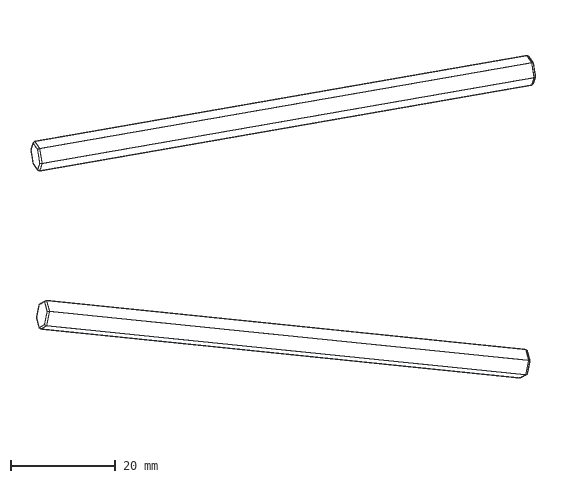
import cadquery as cq
import math

length = 100.0
across_flats = 5.0
bevel_inset = 0.2
bevel_length = 0.4

across_corners = across_flats / math.cos(math.radians(30))
straight_length = length - 2 * bevel_length
bevel_angle = math.degrees(math.atan(bevel_inset / bevel_length))

bar = (
    cq.Workplane("XZ")
    .polygon(6, across_corners)
    .extrude(straight_length / 2, both=True)
)


def bevelled_end(side):
    """Short tapered hexagon on the end of the bar chosen by side."""
    return (
        bar.faces(side)
        .workplane(centerOption="CenterOfMass")
        .polygon(6, across_corners)
        .extrude(bevel_length, taper=bevel_angle, combine=False)
    )


result = bar
for side in ("<Y", ">Y"):
    result = result.union(bevelled_end(side))